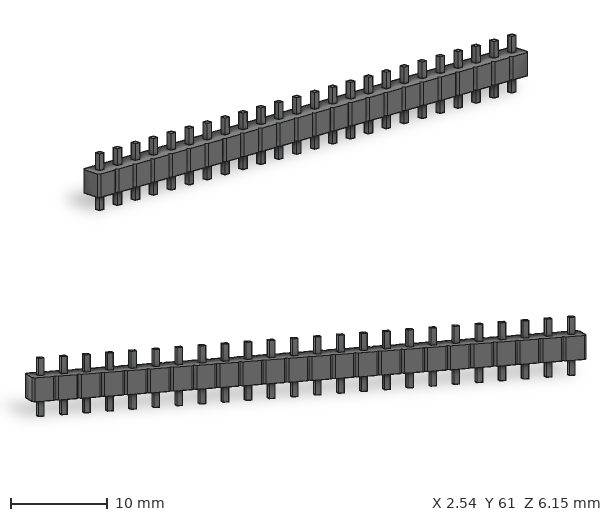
import cadquery as cq

pin_count = 24
row_length = 60.95
pin_length = 6.15
corner_chamfer = 0.255

pitch = row_length / pin_count
pin_side = pitch / 4


def make_cell(center_y):
    """One insulator cell with chamfered vertical corners."""
    cell = cq.Workplane("XY").box(pitch, pitch, pitch)
    return cell.edges("|Z").chamfer(corner_chamfer).translate((0, center_y, 0))


def make_pin(center_y):
    """One square pin, standing out equally above and below its cell."""
    return cq.Workplane("XY").box(pin_side, pin_side, pin_length).translate((0, center_y, 0))


first_center = (pitch - row_length) / 2
result = cq.Workplane("XY")
for index in range(pin_count):
    center_y = first_center + index * pitch
    result = result.union(make_cell(center_y)).union(make_pin(center_y))
result = result.clean()